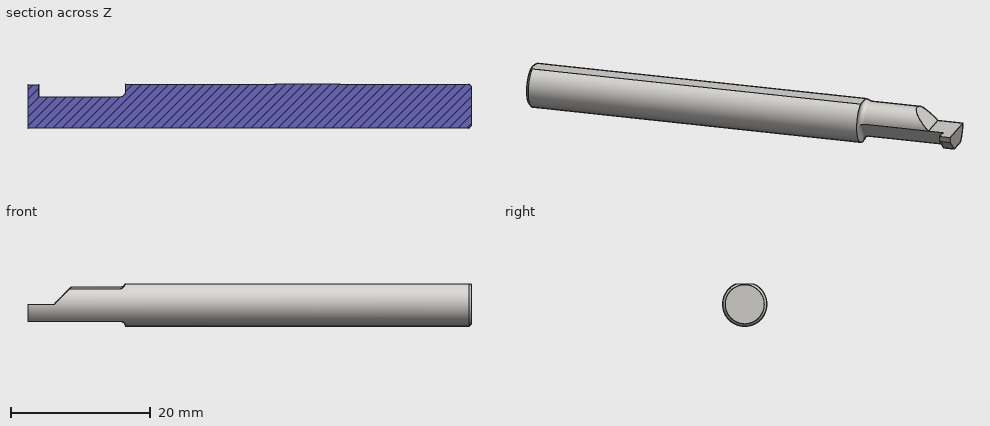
import cadquery as cq

length = 63.5
shank_radius = 3.2
flat_height = 2.9
end_chamfer = 0.4

neck_radius = 2.5
neck_axis_y = -1.0
crown_radius = 3.2
neck_root_y = -0.4
shoulder_x = 14.0
shoulder_fillet = 0.7
outer_y = -3.8

rake_height = 0.0
rake_length = 3.75
tooth_width = 1.6
tooth_tip_y = 3.1
tooth_side_y = 2.9
tooth_side_z = -0.8
tooth_root_y = 1.1


def make_shank():
    """Round bar with a chamfered rear end and a flat along the top."""
    bar = cq.Workplane("YZ").circle(shank_radius).extrude(length)
    bar = bar.faces(">X").chamfer(end_chamfer)
    above_flat = cq.Workplane("XY", origin=(length / 2, 0, flat_height)).box(
        length, 2 * shank_radius, shank_radius, centered=(True, True, False)
    )
    return bar.cut(above_flat)


def make_envelope():
    """Neck prism joined through a fillet to a block wider than the shank."""
    wall_y = neck_axis_y + neck_radius
    diagonal = neck_radius * 0.5**0.5

    crown_run = neck_axis_y - outer_y
    crown_end_z = neck_radius - crown_radius + (crown_radius**2 - crown_run**2) ** 0.5

    neck = (
        cq.Workplane("YZ")
        .moveTo(outer_y, -neck_radius)
        .lineTo(neck_root_y, -neck_radius)
        .lineTo(wall_y, 0)
        .threePointArc((neck_axis_y + diagonal, diagonal), (neck_axis_y, neck_radius))
        .radiusArc((outer_y, crown_end_z), -crown_radius)
        .close()
        .extrude(shoulder_x)
    )
    block_size = 4 * shank_radius
    block = (
        cq.Workplane("YZ", origin=(shoulder_x, 0, 0))
        .rect(block_size, block_size)
        .extrude(length - shoulder_x)
    )
    half_select = 1.5 * shank_radius
    margin = 0.05
    junction = cq.selectors.BoxSelector(
        (shoulder_x - margin, -half_select, -half_select),
        (shoulder_x + margin, half_select, half_select),
        boundingbox=True,
    )
    return block.union(neck).edges(junction).fillet(shoulder_fillet)


def make_tooth():
    """Tooth blank with a relieved underside, reaching past the neck towards +Y."""
    return (
        cq.Workplane("YZ")
        .polyline([
            (outer_y, rake_height),
            (tooth_tip_y, rake_height),
            (tooth_side_y, tooth_side_z),
            (tooth_root_y, -neck_radius),
            (outer_y, -neck_radius),
        ])
        .close()
        .extrude(tooth_width)
    )


def make_rake_cutter():
    """Space above the rake face, closed behind by a 45 degree slope."""
    return (
        cq.Workplane("XZ")
        .polyline([
            (0, rake_height),
            (rake_length, rake_height),
            (rake_length + shank_radius, rake_height + shank_radius),
            (0, rake_height + shank_radius),
        ])
        .close()
        .extrude(shank_radius, both=True)
    )


shank = make_shank()
form = make_envelope().union(make_tooth())
result = shank.intersect(form).cut(make_rake_cutter())